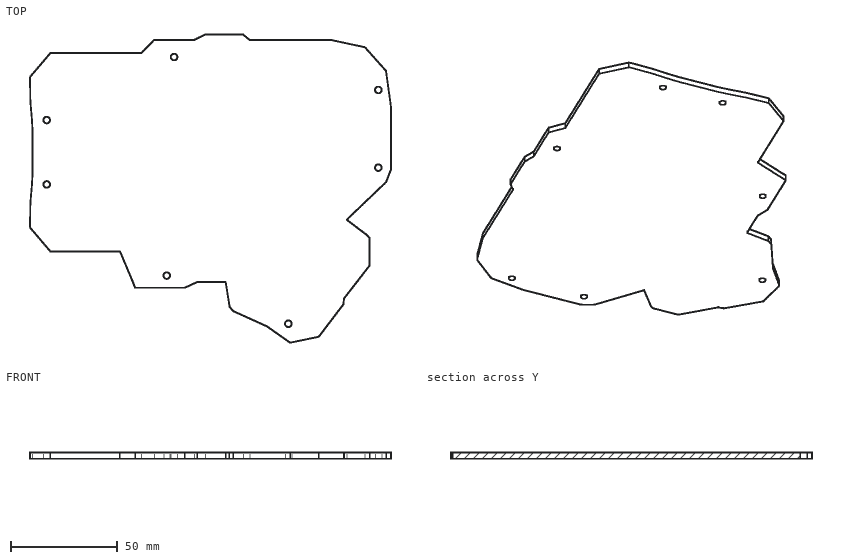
import cadquery as cq

length = 169.57
width = 144.69
thickness = 3.0
hole_diameter = 3.0

shoulder_y = 142.15
lower_edge_y = 25.75
lower_step_y = 28.45
thumb_right_x = 159.45

left_mid_y = 89.42

left_end_half = [
    (1.24, 9.65),
    (0.90, 15.73),
    (0.22, 23.50),
    (0.00, 34.43),
    (0.10, 35.40),
    (9.65, 46.60),
    (12.80, 46.65),
]
left_edge_offset = left_end_half[-1][1]


def left_end_points():
    """Left end, from the lower edge up to the upper edge."""
    lower = [(x, left_mid_y - height) for x, height in reversed(left_end_half)]
    upper = [(x, left_mid_y + height) for x, height in left_end_half]
    return lower + upper


top_side = [
    (52.35, left_mid_y + left_edge_offset),
    (58.30, shoulder_y),
    (77.05, shoulder_y),
    (82.30, width),
    (100.10, width),
    (103.20, shoulder_y),
    (141.45, shoulder_y),
]

right_end = [
    (157.25, 138.75),
    (167.20, 127.60),
    (length, 110.50),
    (length, 81.45),
    (167.25, 75.45),
    (148.75, 57.75),
]

thumb_lobe = [
    (158.35, 50.50),
    (thumb_right_x, 49.20),
    (thumb_right_x, 36.20),
    (147.50, 20.80),
    (147.20, 18.05),
    (135.60, 2.80),
    (125.80, 0.75),
    (122.15, 0.00),
    (111.30, 7.65),
    (95.40, 14.85),
    (93.70, 16.90),
    (91.85, lower_step_y),
]

bottom_side = [
    (78.50, lower_step_y),
    (72.65, lower_edge_y),
    (49.40, lower_edge_y),
    (48.10, 29.05),
    (42.30, left_mid_y - left_edge_offset),
]

left_hole_x = 7.9
left_hole_offset = 15.1
right_hole_x = 163.55
hole_centers = [
    (left_hole_x, left_mid_y + left_hole_offset),
    (left_hole_x, left_mid_y - left_hole_offset),
    (67.70, 134.10),
    (right_hole_x, 118.65),
    (right_hole_x, 82.20),
    (64.25, 31.55),
    (121.30, 8.95),
]


def make_plate():
    outline = left_end_points() + top_side + right_end + thumb_lobe + bottom_side
    return cq.Workplane("XY").polyline(outline).close().extrude(thickness)


def cut_screw_holes(plate):
    top_face = plate.faces(">Z").workplane(origin=(0, 0, thickness))
    return top_face.pushPoints(hole_centers).hole(hole_diameter)


result = cut_screw_holes(make_plate())